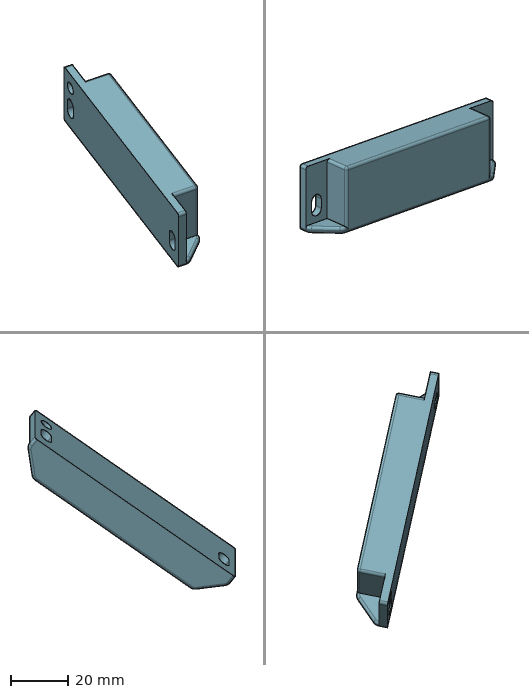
import cadquery as cq
import math

length = 88.0
depth = 13.0
height = 25.0

plate_thickness = 3.0
ear_length = 10.0
housing_length = length - 2 * ear_length
edge_radius = 1.1

rib_thickness = 2.5
rib_bend_radius = 3.0
rib_end_depth = plate_thickness + rib_bend_radius * math.tan(math.radians(45 / 2))
rib_bevel = depth - rib_end_depth

hole_diameter = 4.5
hole_inset = 5.0
hole_height = 18.6
slot_length = 8.0
slot_height = 9.0


def box_on_front(size_x, size_y):
    """Full-height box centred in X, with its front face on Y = 0 and its base on Z = 0."""
    return cq.Workplane("XY").box(size_x, size_y, height, centered=(True, False, False))


def make_plate():
    return box_on_front(length, plate_thickness).edges("|Y").fillet(edge_radius)


def make_housing():
    """Block with rounded upper corners and a rounded rear rim."""
    block = box_on_front(housing_length, depth)
    block = block.edges("|Y and >Z").fillet(edge_radius)
    return block.faces(">Y").edges().fillet(edge_radius)


def make_rib():
    """Bevelled slab with soft bends, rounded along its upper and lower outline."""
    half = length / 2
    outline = [
        (-half, 0),
        (half, 0),
        (half, rib_end_depth),
        (half - rib_bevel, depth),
        (-half + rib_bevel, depth),
        (-half, rib_end_depth),
    ]
    slab = cq.Workplane("XY").polyline(outline).close().extrude(rib_thickness)
    slab = slab.edges("|Z").edges("not <Y").fillet(rib_bend_radius)
    return slab.faces("<Z or >Z").edges("not <Y").fillet(edge_radius)


def ear_sketch(x, z):
    """Sketch plane on the front face, centred at (x, z)."""
    return cq.Workplane("XZ", origin=(x, 0, z))


def make_holes():
    """A slot through each ear and one round hole above the left slot."""
    hole_x = length / 2 - hole_inset
    holes = ear_sketch(-hole_x, hole_height).circle(hole_diameter / 2).extrude(-plate_thickness)
    for x in (-hole_x, hole_x):
        slot = ear_sketch(x, slot_height).slot2D(slot_length, hole_diameter, 90)
        holes = holes.union(slot.extrude(-plate_thickness))
    return holes


result = make_plate().union(make_housing()).union(make_rib()).cut(make_holes())